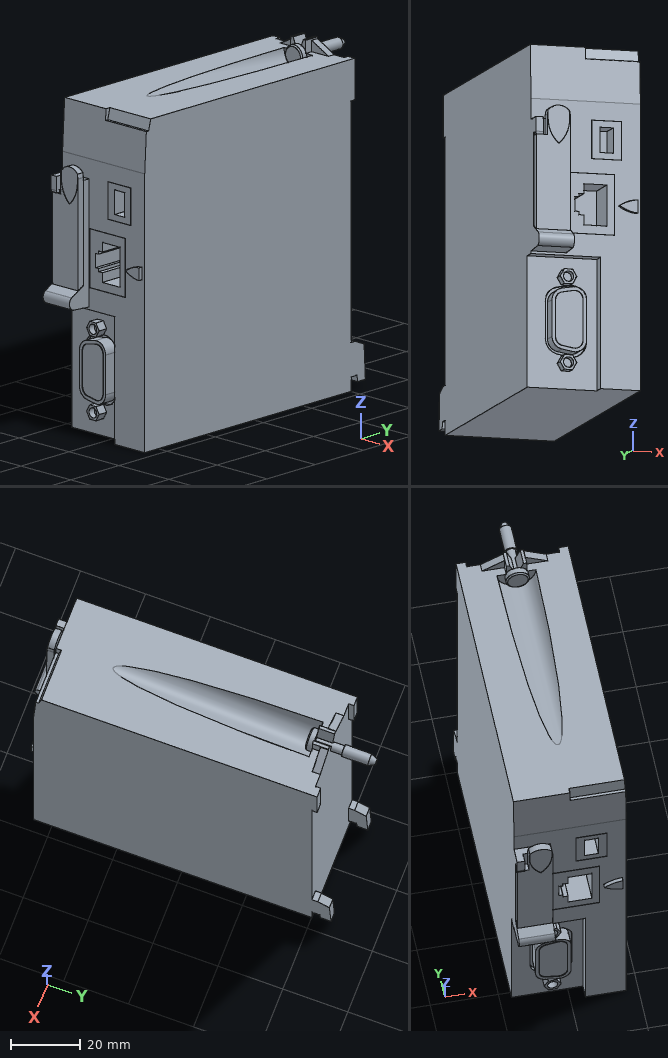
import cadquery as cq
import math


WIDTH = 33.0
HEIGHT = 100.0
DEPTH = 85.8
FRONT_CREASE_Z = 84.0
TOP_SETBACK = 0.9
RECESS_WIDTH = 21.0
RECESS_HEIGHT = 38.5
RECESS_DEPTH = 3.9

LEDGE_X = 16.7
LEDGE_Z = 96.5
LEDGE_SETBACK = 1.6
LEDGE_TOP_SETBACK = 2.5

WING_WIDTH = 2.9
UPPER_WING_Z = 87.4
UPPER_WING_REACH = 1.6
FOOT_TOP_Z = 14.7
FOOT_BEVEL_Z = 13.2
FOOT_BOTTOM_Z = 4.4
FOOT_HOOK_Z = 2.4
FOOT_SHOULDER_REACH = 1.8
FOOT_BEVEL_REACH = 5.4
FOOT_REACH = 5.9
FOOT_HOOK_TIP_GAP = 2.6
FOOT_HOOK_ROOT_GAP = 2.4

SCREW_X = WIDTH / 2
SCREW_Z = 98.9
SCREW_TIP_Y = 99.4
SCREW_CONE_Y = 97.5
SCREW_SHOULDER_Y = 89.3
SCREW_HEAD_LENGTH = 2.2
SCREW_HEAD_CHAMFER = 0.4
HEAD_RADIUS = 3.4
NECK_RADIUS = 1.4
SHANK_RADIUS = 1.8
TIP_RADIUS = 0.9

TROUGH_FRONT_Y = 18.4
TROUGH_BACK_Y = 80.8
TROUGH_RADIUS = 5.7
CLIP_TOP_Z = 104.0
CLIP_HALF_WIDTH = 3.0
CLIP_WING_HALF_WIDTH = 9.7
CLIP_WING_THICKNESS = 2.5
CLIP_WING_DROP = 0.5
CLIP_MOUTH_HALF_WIDTH = 2.0
CLIP_SLOT_HALF_WIDTH = 0.5

FRAME_DEPTH = 0.1
USB_CENTRE = (22.8, 72.9)
USB_FRAME = (9.0, 11.3)
USB_OPENING = (4.0, 7.4)
USB_DEPTH = 6.5
NETWORK_Z = 53.8
NETWORK_FRAME_LEFT = 11.0
NETWORK_FRAME_RIGHT = 25.2
NETWORK_FRAME_TOP = 62.9
NETWORK_FRAME_BOTTOM = 45.2
NETWORK_OPENING_RIGHT = 22.9
NETWORK_STEPS = [(15.9, 6.0), (14.4, 3.1), (13.2, 2.2)]
NETWORK_DEPTH = 10.8

LENS_TIP_X = 26.3
LENS_END_X = 31.8
LENS_HALF_HEIGHT = 1.9
LENS_BULGE = 0.4
LENS_OUT = 1.2

BASE_WIDTH = 10.6
BASE_OUT = 2.2
BASE_BOTTOM_Z = 39.2
TAB_WIDTH = 2.3
TAB_OUT = 4.7
TAB_BOTTOM_Z = 72.8
TAB_TOP_Z = 77.8
TAB_LIP_Z = 73.5
TAB_LIP_OUT = 3.4
TAB_LIP_TAPER = 0.1
DOOR_LEFT = 0.2
DOOR_RIGHT = 10.5
DOOR_OUT = 4.4
DOOR_BOTTOM_Z = 44.1
HEAD_LEFT = 3.5
HEAD_TAPER_Z = 78.7
HEAD_ARC_Z = 80.1
HEAD_ARC_HALF_WIDTH = 3.2
DOOR_TOP_Z = 81.6
LUG_TOP_Z = 46.2
LUG_OUT = 8.1
LUG_NOSE_Z = 41.7
LUG_NOSE_TOP = (-7.2, 43.5)
LUG_NOSE_BOTTOM = (-6.7, 39.7)
FINGER_RECESS_TIP_Z = 70.4
FINGER_RECESS_SHOULDER_Z = 77.4
FINGER_RECESS_DEPTH = 0.1
FINGER_RECESS_FULLNESS = 0.78

SERIAL_LEFT = 6.5
SERIAL_RIGHT = 16.9
SERIAL_Z = 20.0
SERIAL_HALF_LEFT = 8.4
SERIAL_HALF_RIGHT = 10.2
SERIAL_CORNER = 3.5
SERIAL_HEIGHT = 3.4
SERIAL_CLEARANCE = 1.0
SERIAL_CLEARANCE_DEPTH = 1.1
SERIAL_RIM = 1.1
SERIAL_FLOOR_DROP = 0.2
JACK_X = 11.5
JACK_SPACING = 25.2
JACK_ACROSS_FLATS = 4.3
JACK_HEIGHT = 3.1
JACK_BORE_RADIUS = 1.5
JACK_BORE_DEPTH = 2.2


def front_plane(y):
    """Sketch plane at the given Y, with world X and Z as its axes; it extrudes towards -Y."""
    return cq.Workplane("XZ", origin=(0, y, 0))


def side_plane(x):
    """Sketch plane at the given X, with world Y and Z as its axes; it extrudes towards +X."""
    return cq.Workplane("YZ", origin=(x, 0, 0))


def block(x_range, y_range, z_range):
    """Box between two limits along each axis."""
    limits = (x_range, y_range, z_range)
    sizes = [high - low for low, high in limits]
    corner = [low for low, _ in limits]
    return cq.Workplane("XY").box(*sizes, centered=False).translate(tuple(corner))


def housing():
    outline = [
        (0, 0),
        (DEPTH, 0),
        (DEPTH, HEIGHT),
        (TOP_SETBACK, HEIGHT),
        (0, FRONT_CREASE_Z),
    ]
    body = side_plane(0).polyline(outline).close().extrude(WIDTH)
    recess = block((0, RECESS_WIDTH), (0, RECESS_DEPTH), (0, RECESS_HEIGHT))
    ledge_outline = [
        (0, LEDGE_Z),
        (LEDGE_SETBACK, LEDGE_Z),
        (LEDGE_TOP_SETBACK, HEIGHT),
        (0, HEIGHT),
    ]
    ledge = side_plane(LEDGE_X).polyline(ledge_outline).close().extrude(WIDTH - LEDGE_X)
    return body.cut(recess).cut(ledge)


def rear_wings():
    """Upper wing and hooked foot, repeated along both sides."""
    foot_outline = [
        (DEPTH, FOOT_TOP_Z),
        (DEPTH + FOOT_SHOULDER_REACH, FOOT_TOP_Z),
        (DEPTH + FOOT_BEVEL_REACH, FOOT_BEVEL_Z),
        (DEPTH + FOOT_REACH, FOOT_HOOK_Z),
        (DEPTH + FOOT_HOOK_TIP_GAP, FOOT_HOOK_Z),
        (DEPTH + FOOT_HOOK_ROOT_GAP, FOOT_BOTTOM_Z),
        (DEPTH, FOOT_BOTTOM_Z),
    ]
    wings = cq.Workplane("XY")
    for left in (0, WIDTH - WING_WIDTH):
        foot = side_plane(left).polyline(foot_outline).close().extrude(WING_WIDTH)
        upper = block(
            (left, left + WING_WIDTH),
            (DEPTH, DEPTH + UPPER_WING_REACH),
            (UPPER_WING_Z, HEIGHT),
        )
        wings = wings.add(foot).add(upper)
    return wings.combine()


def screwdriver_trough():
    """Tilted cylinder whose axis meets the top face at the back and whose floor runs out at the front."""
    length = TROUGH_BACK_Y - TROUGH_FRONT_Y
    tilt = math.asin(TROUGH_RADIUS / length)
    direction = cq.Vector(0, -math.cos(tilt), math.sin(tilt))
    back_point = cq.Vector(SCREW_X, TROUGH_BACK_Y, HEIGHT)
    overrun = TROUGH_RADIUS
    cylinder = cq.Solid.makeCylinder(
        TROUGH_RADIUS, length + 2 * overrun, back_point - direction * overrun, direction
    )
    limit = block((0, WIDTH), (0, TROUGH_BACK_Y), (0, 2 * HEIGHT))
    return cq.Workplane(cylinder).intersect(limit)


def screw_clip():
    """Split block with two sloping wings that holds the screw neck."""
    wing_outline = [
        (SCREW_X - CLIP_WING_HALF_WIDTH, HEIGHT),
        (SCREW_X + CLIP_WING_HALF_WIDTH, HEIGHT),
        (SCREW_X + CLIP_HALF_WIDTH, CLIP_TOP_Z - CLIP_WING_DROP),
        (SCREW_X - CLIP_HALF_WIDTH, CLIP_TOP_Z - CLIP_WING_DROP),
    ]
    wings = front_plane(DEPTH).polyline(wing_outline).close().extrude(CLIP_WING_THICKNESS)
    jaws = block(
        (SCREW_X - CLIP_HALF_WIDTH, SCREW_X + CLIP_HALF_WIDTH),
        (TROUGH_BACK_Y, DEPTH),
        (HEIGHT, CLIP_TOP_Z),
    )
    return wings.union(jaws)


def clip_slot():
    """V-shaped entry that narrows down to the screw neck."""
    outline = [
        (SCREW_X - CLIP_MOUTH_HALF_WIDTH, CLIP_TOP_Z),
        (SCREW_X + CLIP_MOUTH_HALF_WIDTH, CLIP_TOP_Z),
        (SCREW_X + CLIP_SLOT_HALF_WIDTH, SCREW_Z + NECK_RADIUS),
        (SCREW_X + CLIP_SLOT_HALF_WIDTH, SCREW_Z),
        (SCREW_X - CLIP_SLOT_HALF_WIDTH, SCREW_Z),
        (SCREW_X - CLIP_SLOT_HALF_WIDTH, SCREW_Z + NECK_RADIUS),
    ]
    return front_plane(DEPTH).polyline(outline).close().extrude(DEPTH - TROUGH_BACK_Y)


def retaining_screw():
    """Turned screw lying along Y; each point is a radius and a Y position."""
    head_y = TROUGH_BACK_Y - SCREW_HEAD_LENGTH
    profile = [
        (0, head_y),
        (HEAD_RADIUS - SCREW_HEAD_CHAMFER, head_y),
        (HEAD_RADIUS, head_y + SCREW_HEAD_CHAMFER),
        (HEAD_RADIUS, TROUGH_BACK_Y),
        (NECK_RADIUS, TROUGH_BACK_Y),
        (NECK_RADIUS, SCREW_SHOULDER_Y),
        (SHANK_RADIUS, SCREW_SHOULDER_Y),
        (SHANK_RADIUS, SCREW_CONE_Y),
        (TIP_RADIUS, SCREW_TIP_Y),
        (0, SCREW_TIP_Y),
    ]
    screw = cq.Workplane("XY").polyline(profile).close().revolve(360, (0, 0), (0, 1))
    return screw.translate((SCREW_X, 0, SCREW_Z))


def usb_socket():
    """Cutter for the USB opening and its shallow frame."""
    frame = front_plane(FRAME_DEPTH).center(*USB_CENTRE).rect(*USB_FRAME).extrude(FRAME_DEPTH)
    opening = front_plane(USB_DEPTH).center(*USB_CENTRE).rect(*USB_OPENING).extrude(USB_DEPTH)
    return frame.union(opening)


def network_socket():
    """Cutter for the stepped network opening and its shallow frame."""
    cutter = block(
        (NETWORK_FRAME_LEFT, NETWORK_FRAME_RIGHT),
        (0, FRAME_DEPTH),
        (NETWORK_FRAME_BOTTOM, NETWORK_FRAME_TOP),
    )
    for left, half_height in NETWORK_STEPS:
        step = block(
            (left, NETWORK_OPENING_RIGHT),
            (0, NETWORK_DEPTH),
            (NETWORK_Z - half_height, NETWORK_Z + half_height),
        )
        cutter = cutter.union(step)
    return cutter


def indicator_lens():
    """Pointed lens with two bowed sides and a flat right end."""
    middle_x = (LENS_TIP_X + LENS_END_X) / 2
    bow = LENS_HALF_HEIGHT / 2 + LENS_BULGE
    return (
        front_plane(0)
        .moveTo(LENS_TIP_X, NETWORK_Z)
        .threePointArc((middle_x, NETWORK_Z + bow), (LENS_END_X, NETWORK_Z + LENS_HALF_HEIGHT))
        .lineTo(LENS_END_X, NETWORK_Z - LENS_HALF_HEIGHT)
        .threePointArc((middle_x, NETWORK_Z - bow), (LENS_TIP_X, NETWORK_Z))
        .close()
        .extrude(LENS_OUT)
    )


def door_base():
    """Base plate ending at the bottom in a rounded lug."""
    return (
        side_plane(0)
        .moveTo(0, TAB_TOP_Z)
        .lineTo(-BASE_OUT, TAB_TOP_Z)
        .lineTo(-BASE_OUT, LUG_TOP_Z)
        .lineTo(*LUG_NOSE_TOP)
        .threePointArc((-LUG_OUT, LUG_NOSE_Z), LUG_NOSE_BOTTOM)
        .lineTo(0, BASE_BOTTOM_Z)
        .close()
        .extrude(BASE_WIDTH)
    )


def finger_recess(centre_x):
    """Teardrop recess in the door head: follows the head's arc at the top, pointed at the bottom."""
    half_width = HEAD_ARC_HALF_WIDTH
    middle_half_width = FINGER_RECESS_FULLNESS * half_width
    middle_z = (FINGER_RECESS_SHOULDER_Z + FINGER_RECESS_TIP_Z) / 2
    return (
        front_plane(FINGER_RECESS_DEPTH - DOOR_OUT)
        .moveTo(centre_x, FINGER_RECESS_TIP_Z)
        .threePointArc(
            (centre_x - middle_half_width, middle_z),
            (centre_x - half_width, FINGER_RECESS_SHOULDER_Z),
        )
        .lineTo(centre_x - half_width, HEAD_ARC_Z)
        .threePointArc((centre_x, DOOR_TOP_Z), (centre_x + half_width, HEAD_ARC_Z))
        .lineTo(centre_x + half_width, FINGER_RECESS_SHOULDER_Z)
        .threePointArc(
            (centre_x + middle_half_width, middle_z),
            (centre_x, FINGER_RECESS_TIP_Z),
        )
        .close()
        .extrude(FINGER_RECESS_DEPTH)
    )


def door_plate():
    """Flat door whose narrower head tapers slightly and ends in an arc."""
    head_x = (HEAD_LEFT + DOOR_RIGHT) / 2
    plate = (
        front_plane(-BASE_OUT)
        .moveTo(DOOR_LEFT, DOOR_BOTTOM_Z)
        .lineTo(DOOR_RIGHT, DOOR_BOTTOM_Z)
        .lineTo(DOOR_RIGHT, HEAD_TAPER_Z)
        .lineTo(head_x + HEAD_ARC_HALF_WIDTH, HEAD_ARC_Z)
        .threePointArc((head_x, DOOR_TOP_Z), (head_x - HEAD_ARC_HALF_WIDTH, HEAD_ARC_Z))
        .lineTo(HEAD_LEFT, HEAD_TAPER_Z)
        .lineTo(HEAD_LEFT, TAB_BOTTOM_Z)
        .lineTo(DOOR_LEFT, TAB_BOTTOM_Z)
        .close()
        .extrude(DOOR_OUT - BASE_OUT)
    )
    return plate.cut(finger_recess(head_x))


def latch_tab():
    """Tab beside the door head, with a small lip hanging from its outer end."""
    outline = [
        (0, TAB_TOP_Z),
        (-TAB_OUT, TAB_TOP_Z),
        (-TAB_OUT, TAB_LIP_Z),
        (-TAB_OUT + TAB_LIP_TAPER, TAB_BOTTOM_Z),
        (-TAB_LIP_OUT, TAB_BOTTOM_Z),
        (-TAB_LIP_OUT, TAB_LIP_Z),
        (0, TAB_LIP_Z),
    ]
    return side_plane(0).polyline(outline).close().extrude(TAB_WIDTH)


def front_door():
    return door_base().union(door_plate()).union(latch_tab())


def serial_prism(y_start, height, offset):
    """D-shaped prism rising from y_start, its outline offset from that of the connector shell."""
    outline = [
        (SERIAL_LEFT, SERIAL_Z - SERIAL_HALF_LEFT),
        (SERIAL_RIGHT, SERIAL_Z - SERIAL_HALF_RIGHT),
        (SERIAL_RIGHT, SERIAL_Z + SERIAL_HALF_RIGHT),
        (SERIAL_LEFT, SERIAL_Z + SERIAL_HALF_LEFT),
    ]
    shell = front_plane(y_start).polyline(outline).close().extrude(height)
    shell = shell.edges("|Y").fillet(SERIAL_CORNER)
    if offset == 0:
        return shell
    return shell.faces(">Y").wires().toPending().offset2D(offset).extrude(height, combine=False)


def serial_shell():
    """Connector shell standing on the pocket floor, its mouth shallowly recessed inside the rim."""
    base_y = RECESS_DEPTH + SERIAL_CLEARANCE_DEPTH
    shell = serial_prism(base_y, SERIAL_HEIGHT + SERIAL_CLEARANCE_DEPTH, 0)
    floor_y = RECESS_DEPTH - SERIAL_HEIGHT + SERIAL_FLOOR_DROP
    return shell.cut(serial_prism(floor_y, SERIAL_FLOOR_DROP, -SERIAL_RIM))


def serial_clearance():
    """Pocket in the recess floor around the connector shell."""
    return serial_prism(RECESS_DEPTH + SERIAL_CLEARANCE_DEPTH, SERIAL_CLEARANCE_DEPTH, SERIAL_CLEARANCE)


def jack_screws():
    """Hexagonal screws with blind bores above and below the shell, rooted at pocket floor level."""
    centres = [(JACK_X, SERIAL_Z + side * JACK_SPACING / 2) for side in (-1, 1)]
    across_corners = JACK_ACROSS_FLATS / math.cos(math.radians(30))
    bore_y = RECESS_DEPTH - JACK_HEIGHT + JACK_BORE_DEPTH
    base_y = RECESS_DEPTH + SERIAL_CLEARANCE_DEPTH
    length = JACK_HEIGHT + SERIAL_CLEARANCE_DEPTH
    hexes = front_plane(base_y).pushPoints(centres).polygon(6, across_corners).extrude(length)
    bores = front_plane(bore_y).pushPoints(centres).circle(JACK_BORE_RADIUS).extrude(JACK_BORE_DEPTH)
    return hexes.cut(bores)


result = (
    housing()
    .union(rear_wings())
    .union(screw_clip())
    .cut(screwdriver_trough())
    .cut(clip_slot())
    .union(retaining_screw())
    .cut(usb_socket())
    .cut(network_socket())
    .union(indicator_lens())
    .union(front_door())
    .cut(serial_clearance())
    .union(serial_shell())
    .union(jack_screws())
)